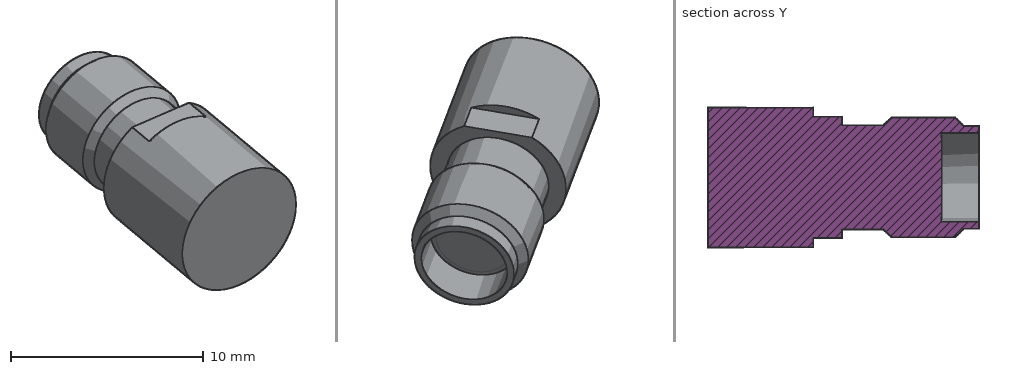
import cadquery as cq

total_length = 14.11
nose_length = 0.8
bevel_length = 0.45
sleeve_end = 5.0
collar_start = 7.13
flat_length = 1.5

nose_diameter = 5.35
sleeve_diameter = 6.25
neck_diameter = 5.43
collar_diameter = 7.3
across_flats = 6.32

bore_diameter = 4.6
floor_diameter = 4.09
bore_depth = 1.98
cone_height = 0.031


def revolved(profile):
    """Revolve a closed (x, radius) profile about the X axis."""
    return cq.Workplane("XY").polyline(profile).close().revolve(360, (0, 0, 0), (1, 0, 0))


def turned_body():
    return revolved([
        (0, 0),
        (0, nose_diameter / 2),
        (nose_length, nose_diameter / 2),
        (nose_length + bevel_length, sleeve_diameter / 2),
        (sleeve_end - bevel_length, sleeve_diameter / 2),
        (sleeve_end, neck_diameter / 2),
        (collar_start, neck_diameter / 2),
        (collar_start, collar_diameter / 2),
        (total_length, collar_diameter / 2),
        (total_length, 0),
    ])


def socket():
    return revolved([
        (0, 0),
        (0, bore_diameter / 2),
        (bore_depth, bore_diameter / 2),
        (bore_depth - cone_height, floor_diameter / 2),
        (bore_depth - cone_height, 0),
    ])


def flat_cutter(side):
    """Block that cuts one wrench flat: side +1 is the top, -1 the bottom."""
    block = cq.Workplane("XY").box(
        flat_length, collar_diameter, collar_diameter, centered=(False, True, True)
    )
    return block.translate((collar_start, 0, side * (across_flats + collar_diameter) / 2))


result = turned_body().cut(socket())
for side in (1, -1):
    result = result.cut(flat_cutter(side))

result = result.translate((-total_length / 2, 0, 0))